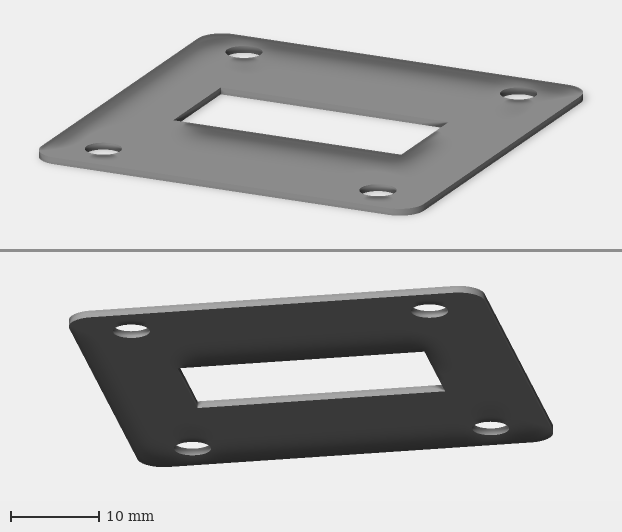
import cadquery as cq

plate_side = 47.8
plate_thickness = 0.8
corner_radius = 3.0

window_length = 28.5
window_width = 12.65

hole_diameter = 4.2
hole_spacing_x = 34.3
hole_spacing_y = 37.48

plate = (
    cq.Workplane("XY")
    .rect(plate_side, plate_side)
    .extrude(plate_thickness)
    .edges("|Z")
    .fillet(corner_radius)
)

window = (
    cq.Workplane("XY")
    .rect(window_length, window_width)
    .extrude(plate_thickness)
)

bolt_holes = (
    cq.Workplane("XY")
    .rect(hole_spacing_x, hole_spacing_y, forConstruction=True)
    .vertices()
    .circle(hole_diameter / 2)
    .extrude(plate_thickness)
)

result = plate.cut(window).cut(bolt_holes)